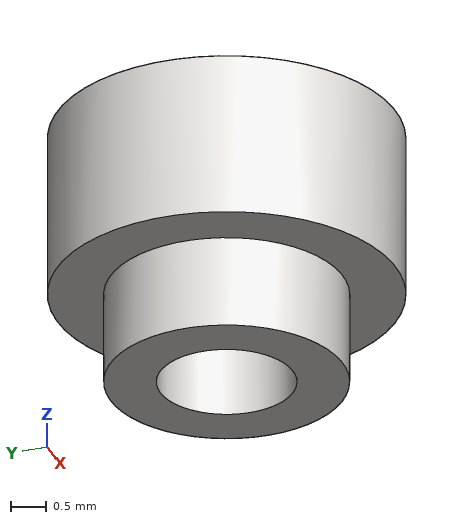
import cadquery as cq

head_diameter = 5.1
head_height = 2.5
stem_diameter = 3.5
stem_height = 1.4
bore_diameter = 2.0

total_height = stem_height + head_height


def cylinder(diameter, height, base_z):
    """Upright cylinder on the Z axis, standing on the height base_z."""
    return cq.Workplane("XY").workplane(offset=base_z).circle(diameter / 2).extrude(height)


stem = cylinder(stem_diameter, stem_height, 0)
head = cylinder(head_diameter, head_height, stem_height)
bore = cylinder(bore_diameter, total_height, 0)

result = stem.union(head).cut(bore)